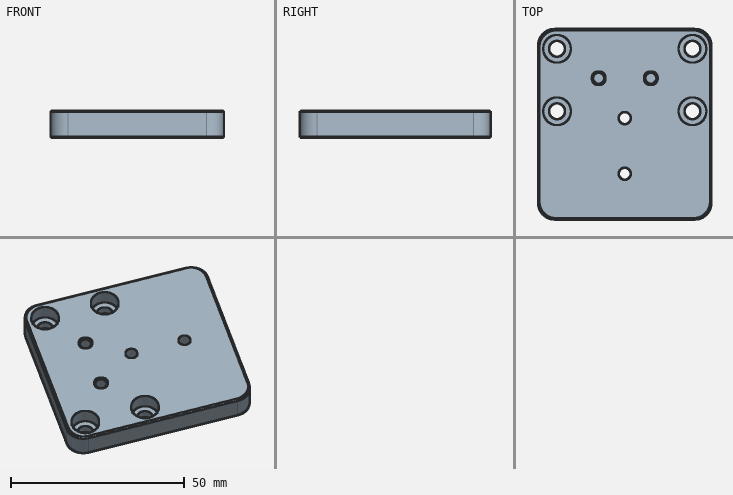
import cadquery as cq

length = 55.0
width = 50.0
thickness = 8.0
corner_radius = 5.0
edge_chamfer = 0.5

mount_spacing_x = 39.0
mount_rear_y = 21.7
mount_spacing_y = 18.0
mount_diameter = 4.5
counterbore_diameter = 8.0
counterbore_depth = 5.0

blind_spacing_x = 15.0
blind_y = 13.25
blind_diameter = 3.2
blind_mouth_diameter = 4.0
blind_depth = 5.0

center_rear_y = 1.75
center_spacing_y = 16.0
center_diameter = 3.4


def make_plate():
    """Rounded plate, centred on the origin, with chamfered rims."""
    plate = cq.Workplane("XY").box(width, length, thickness)
    plate = plate.edges("|Z").fillet(corner_radius)
    return plate.faces("<Z or >Z").chamfer(edge_chamfer)


def top_plane(body):
    return body.faces(">Z").workplane(origin=(0, 0, 0))


def add_mounting_holes(body):
    points = [
        (side * mount_spacing_x / 2, y)
        for side in (-1, 1)
        for y in (mount_rear_y, mount_rear_y - mount_spacing_y)
    ]
    return top_plane(body).pushPoints(points).cboreHole(
        mount_diameter, counterbore_diameter, counterbore_depth
    )


def add_blind_holes(body):
    mouth_depth = (blind_mouth_diameter - blind_diameter) / 2
    top = thickness / 2
    hole = (
        cq.Workplane("XZ")
        .moveTo(0, top)
        .lineTo(blind_mouth_diameter / 2, top)
        .lineTo(blind_diameter / 2, top - mouth_depth)
        .lineTo(blind_diameter / 2, top - blind_depth)
        .lineTo(0, top - blind_depth)
        .close()
        .revolve(360, (0, 0), (0, 1))
    )
    for side in (-1, 1):
        body = body.cut(hole.translate((side * blind_spacing_x / 2, blind_y, 0)))
    return body


def add_center_holes(body):
    points = [(0, center_rear_y), (0, center_rear_y - center_spacing_y)]
    return top_plane(body).pushPoints(points).hole(center_diameter)


result = add_center_holes(add_blind_holes(add_mounting_holes(make_plate())))